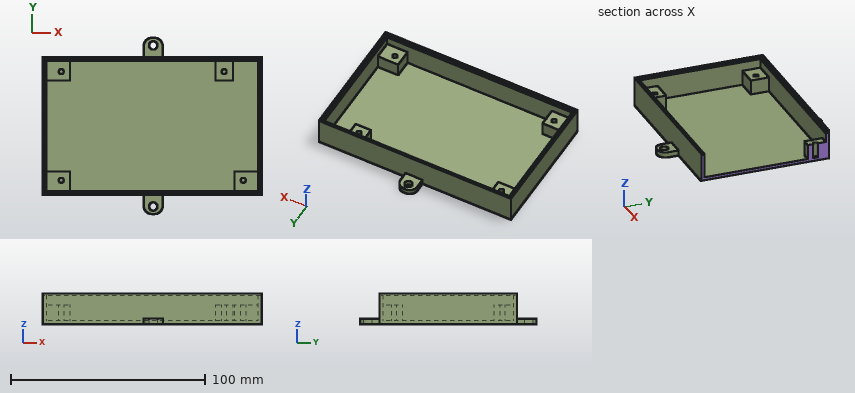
import cadquery as cq

tray_length = 113.0
tray_width = 71.0
tray_height = 16.0
wall_thickness = 2.0
floor_thickness = 2.0

lip_thickness = 1.0
lip_height = 1.0

tab_width = 10.0
tab_reach = 10.0
tab_thickness = 3.0
tab_corner_radius = 4.5
tab_center_x = 0.5
tab_hole_diameter = 4.2
tab_hole_edge_distance = 4.0

post_height = 8.0
post_depth = 10.0
corner_post_length = 12.0
inset_post_length = 9.0
inset_post_gap = 13.0
pilot_hole_diameter = 2.6
corner_pilot_inset = 7.6
pilot_y = 28.0

cavity_length = tray_length - 2 * wall_thickness
cavity_width = tray_width - 2 * wall_thickness
half_cavity_length = cavity_length / 2
half_cavity_width = cavity_width / 2


def block(length, width, height, x, y, z):
    """Box centred at x, y with its bottom at z."""
    return cq.Workplane("XY").box(length, width, height, centered=(True, True, False)).translate((x, y, z))


def make_tray():
    outside = block(tray_length, tray_width, tray_height, 0, 0, 0)
    cavity = block(cavity_length, cavity_width, tray_height, 0, 0, floor_thickness)
    lip_opening = block(
        tray_length - 2 * lip_thickness,
        tray_width - 2 * lip_thickness,
        lip_height,
        0,
        0,
        tray_height - lip_height,
    )
    return outside.cut(cavity).cut(lip_opening)


def make_tab(side):
    """Mounting tab on the long wall at +Y (side = 1) or -Y (side = -1)."""
    wall_y = side * tray_width / 2
    outer_edge = ">Y" if side > 0 else "<Y"
    tab = block(tab_width, tab_reach, tab_thickness, tab_center_x, wall_y + side * tab_reach / 2, 0)
    tab = tab.faces(outer_edge).edges("|Z").fillet(tab_corner_radius)
    hole_y = wall_y + side * (tab_reach - tab_hole_edge_distance)
    hole = cq.Workplane("XY").center(tab_center_x, hole_y).circle(tab_hole_diameter / 2).extrude(tab_thickness)
    return tab.cut(hole)


def make_post(left_x, length, pilot_x, side):
    """Screw post with a blind pilot hole that stops at the tray floor."""
    post_y = side * (half_cavity_width - post_depth / 2)
    post = block(length, post_depth, post_height, left_x + length / 2, post_y, floor_thickness)
    pilot = (
        cq.Workplane("XY", origin=(pilot_x, side * pilot_y, floor_thickness))
        .circle(pilot_hole_diameter / 2)
        .extrude(post_height)
    )
    return post.cut(pilot)


left_pilot_x = -half_cavity_length + corner_pilot_inset
right_corner_post_x = half_cavity_length - corner_post_length
inset_post_x = half_cavity_length - inset_post_gap - inset_post_length
inset_pilot_x = inset_post_x + inset_post_length / 2

result = make_tray()
for side in (-1, 1):
    result = result.union(make_tab(side))
    result = result.union(make_post(-half_cavity_length, corner_post_length, left_pilot_x, side))
result = result.union(make_post(right_corner_post_x, corner_post_length, -left_pilot_x, -1))
result = result.union(make_post(inset_post_x, inset_post_length, inset_pilot_x, 1))